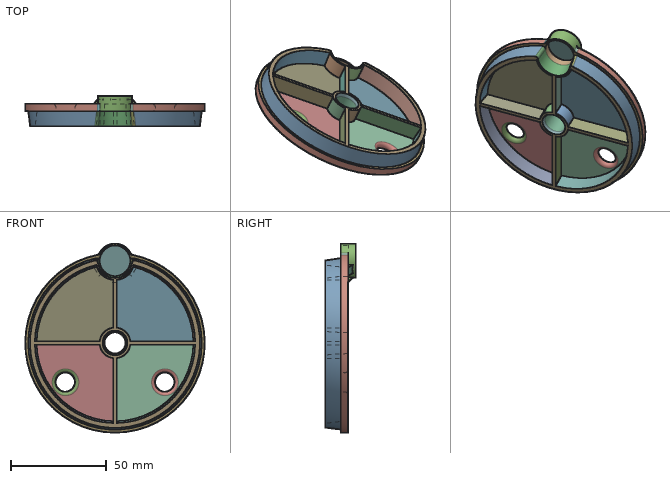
import cadquery as cq
import math

flange_radius = 47.0
flange_thickness = 4.0
skirt_depth = 8.0
skirt_base_radius = 45.4
skirt_rim_radius = 44.5
cavity_floor_radius = 41.0
cavity_rim_radius = 42.0
rib_width = 2.0

hub_diameter = 16.0
hub_mouth_diameter = 13.0
hub_lead_in_depth = 1.9
hub_hole_front_diameter = 11.9
hub_hole_back_diameter = 11.0

mount_hole_diameter = 10.0
mount_hole_rounding = flange_thickness / 2
mount_hole_x = 26.0
mount_hole_z = -20.5

cup_z = 43.0
cup_diameter = 18.0
cup_bore_diameter = 16.0
cup_bore_depth = 4.0
cup_back_height = 4.1
cup_corner_radius = 2.0

recess_wall_radius = 10.0
recess_rim_radius = cup_diameter / 2
recess_base_radius = cup_bore_diameter / 2
recess_corner_radius = 1.5

gusset_reach = 11.3
gusset_width = 4.95
gusset_angles = (-150, -90, -30)


def cylinder(radius, front, back, x=0.0, z=0.0):
    """Cylinder along Y from front to back."""
    start = cq.Vector(x, front, z)
    return cq.Workplane(cq.Solid.makeCylinder(radius, back - front, start, cq.Vector(0, 1, 0)))


def skirt_cone(base_radius, rim_radius, z=0.0):
    """Cone along Y from the flange front to the skirt rim."""
    start = cq.Vector(0, 0, z)
    return cq.Workplane(cq.Solid.makeCone(base_radius, rim_radius, skirt_depth, start, cq.Vector(0, -1, 0)))


def make_flange():
    """Round flange blended into the cup at the outer corners."""
    flange = cylinder(flange_radius, 0, flange_thickness)
    flange = flange.union(cylinder(cup_diameter / 2, 0, flange_thickness, z=cup_z))
    return flange.edges("|Y").fillet(cup_corner_radius)


def make_skirt():
    """Drafted wall that bends inward around the recess, with cross ribs and hub."""
    solid_skirt = skirt_cone(skirt_base_radius, skirt_rim_radius)
    cavity = skirt_cone(cavity_floor_radius, cavity_rim_radius)
    cavity = cavity.cut(cylinder(recess_wall_radius, -skirt_depth, 0, z=cup_z))
    rib_length = 2 * cavity_rim_radius
    for size_x, size_z in ((rib_length, rib_width), (rib_width, rib_length)):
        rib = cq.Workplane().box(size_x, skirt_depth, size_z).translate((0, -skirt_depth / 2, 0))
        cavity = cavity.cut(rib)
    cavity = cavity.cut(cylinder(hub_diameter / 2, -skirt_depth, 0))

    recess = skirt_cone(recess_base_radius, recess_rim_radius, z=cup_z)
    notched = solid_skirt.cut(recess)
    edge_margin = skirt_depth / 4
    corners = cq.selectors.BoxSelector(
        (-recess_wall_radius, -skirt_depth + edge_margin, cup_z - recess_rim_radius / 2),
        (recess_wall_radius, -edge_margin, flange_radius),
    )
    notched = notched.edges(corners).fillet(recess_corner_radius)
    return notched.cut(cavity)


def make_gusset(angle):
    """Web with a 45 degree slope, pointing away from the cup axis."""
    back = flange_thickness
    web = (
        cq.Workplane("XY")
        .moveTo(0, back)
        .lineTo(gusset_reach, back)
        .lineTo(gusset_reach - cup_back_height, back + cup_back_height)
        .lineTo(0, back + cup_back_height)
        .close()
        .extrude(gusset_width / 2, both=True)
    )
    return web.rotate((0, 0, 0), (0, 1, 0), -angle).translate((0, 0, cup_z))


def make_hub_hole():
    """Through hole that narrows towards the back, with a conical lead-in at the front."""
    return (
        cq.Workplane("XY")
        .moveTo(0, -skirt_depth)
        .lineTo(hub_mouth_diameter / 2, -skirt_depth)
        .lineTo(hub_hole_front_diameter / 2, -skirt_depth + hub_lead_in_depth)
        .lineTo(hub_hole_back_diameter / 2, flange_thickness)
        .lineTo(0, flange_thickness)
        .close()
        .revolve(360, (0, 0), (0, 1))
    )


def make_mount_hole():
    """Through hole waisted at mid-thickness, flaring in a quarter circle to each face."""
    waist = mount_hole_diameter / 2
    mouth = waist + mount_hole_rounding
    bulge = mount_hole_rounding * (1 - math.sqrt(0.5))
    return (
        cq.Workplane("XY")
        .lineTo(mouth, 0)
        .threePointArc((waist + bulge, bulge), (waist, mount_hole_rounding))
        .threePointArc((waist + bulge, flange_thickness - bulge), (mouth, flange_thickness))
        .lineTo(0, flange_thickness)
        .close()
        .revolve(360, (0, 0), (0, 1))
    )


body = make_flange().union(make_skirt())
cup_back = flange_thickness + cup_back_height
body = body.union(cylinder(cup_diameter / 2, 0, cup_back, z=cup_z))
for gusset_angle in gusset_angles:
    body = body.union(make_gusset(gusset_angle))

body = body.cut(cylinder(cup_bore_diameter / 2, 0, cup_bore_depth, z=cup_z))
body = body.cut(make_hub_hole())
mount_hole = make_mount_hole()
for side in (-1, 1):
    body = body.cut(mount_hole.translate((side * mount_hole_x, 0, mount_hole_z)))

result = body